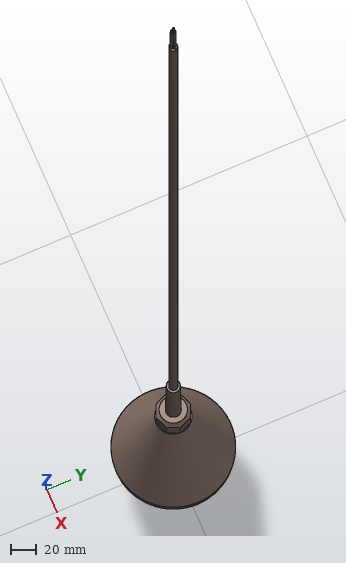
import cadquery as cq
import math

TOTAL_HEIGHT = 1290.0
BALL_DIA = 97.0

BALL_RADIUS = BALL_DIA / 2
CONE_TOP_Z = 140.0
CONE_TOP_DIA = 29.0

NUT_SIDES = 8
NUT_CORNER_DIA = 29.0
NUT_TOP_DIA = 22.0
NUT_TOP_Z = 160.0
NUT_CHAMFER_HEIGHT = 5.0
NUT_HEIGHT = NUT_TOP_Z - CONE_TOP_Z

SLEEVE_TOP_Z = 230.0
SLEEVE_BOTTOM_DIA = 12.4
SLEEVE_TOP_DIA = 11.0

CABLE_DIA = 7.0
WIRE_EXPOSED_LENGTH = 50.0
CABLE_TOP_Z = TOTAL_HEIGHT - WIRE_EXPOSED_LENGTH
WIRE_COUNT = 3
FIRST_WIRE_ANGLE = -90.0
WIRE_CIRCLE_RADIUS = 1.5
INSULATION_DIA = 2.0
CONDUCTOR_DIA = 1.5
CONDUCTOR_BARE_LENGTH = 5.0


def revolve_about_z(profile):
    """Turn a closed XZ profile a full circle about the Z axis."""
    return profile.revolve(360, (0, 0, 0), (0, 1, 0))


def make_float_and_cable():
    """Float, sleeve and cable as one turned profile."""
    arc_offset = BALL_RADIUS * math.sqrt(0.5)
    profile = (
        cq.Workplane("XZ")
        .moveTo(0, 0)
        .threePointArc((arc_offset, BALL_RADIUS - arc_offset), (BALL_RADIUS, BALL_RADIUS))
        .lineTo(CONE_TOP_DIA / 2, CONE_TOP_Z)
        .lineTo(SLEEVE_BOTTOM_DIA / 2, CONE_TOP_Z)
        .lineTo(SLEEVE_BOTTOM_DIA / 2, NUT_TOP_Z)
        .lineTo(SLEEVE_TOP_DIA / 2, SLEEVE_TOP_Z)
        .lineTo(CABLE_DIA / 2, SLEEVE_TOP_Z)
        .lineTo(CABLE_DIA / 2, CABLE_TOP_Z)
        .lineTo(0, CABLE_TOP_Z)
        .close()
    )
    return revolve_about_z(profile)


def make_nut():
    """Octagonal prism with corners on the X and Y axes, trimmed by a chamfer cone."""
    prism = (
        cq.Workplane("XY", origin=(0, 0, CONE_TOP_Z))
        .polygon(NUT_SIDES, NUT_CORNER_DIA)
        .extrude(NUT_HEIGHT)
    )
    turned_limit = (
        cq.Workplane("XZ")
        .moveTo(0, CONE_TOP_Z)
        .lineTo(NUT_CORNER_DIA / 2, CONE_TOP_Z)
        .lineTo(NUT_CORNER_DIA / 2, NUT_TOP_Z - NUT_CHAMFER_HEIGHT)
        .lineTo(NUT_TOP_DIA / 2, NUT_TOP_Z)
        .lineTo(0, NUT_TOP_Z)
        .close()
    )
    return prism.intersect(revolve_about_z(turned_limit))


def make_rods(diameter, length):
    """One round rod per wire, standing on the end of the cable."""
    return (
        cq.Workplane("XY", origin=(0, 0, CABLE_TOP_Z))
        .polarArray(WIRE_CIRCLE_RADIUS, FIRST_WIRE_ANGLE, 360, WIRE_COUNT)
        .circle(diameter / 2)
        .extrude(length)
    )


def make_wires():
    """Insulated wires with the conductors projecting from the insulation."""
    insulation = make_rods(INSULATION_DIA, WIRE_EXPOSED_LENGTH - CONDUCTOR_BARE_LENGTH)
    conductors = make_rods(CONDUCTOR_DIA, WIRE_EXPOSED_LENGTH)
    return insulation.union(conductors)


result = make_float_and_cable().union(make_nut()).union(make_wires())